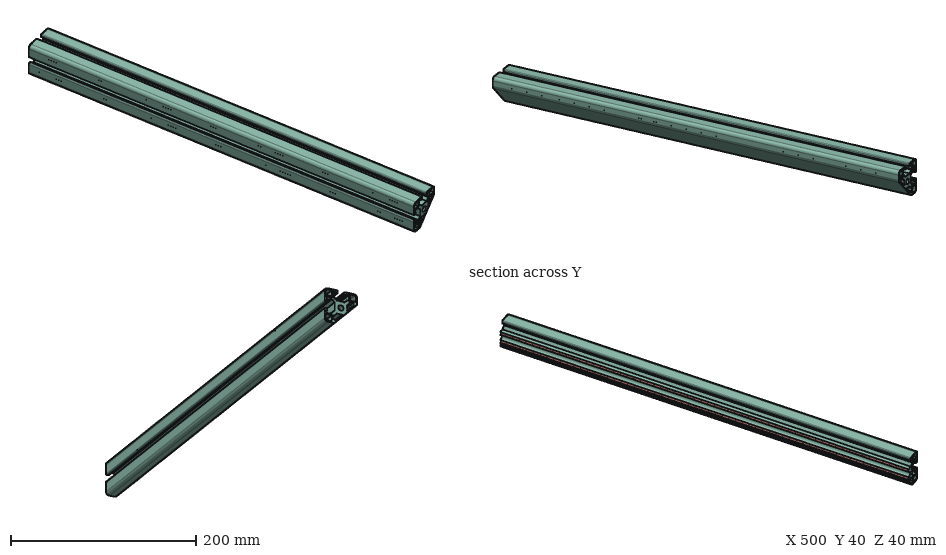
import cadquery as cq
import math

length = 500.0
side = 40.0
half = side / 2
corner_radius = 4.0
bore_diameter = 6.5

slot_width = 8.0
mouth_radius = 1.0
lip_depth = 3.5
flange_thickness = 2.5
hook_width = 2.5
cavity_width = 19.5
core_width = 15.5
shelf_level = 11.0
closed_level = 15.5
arm_offset = 3.0

wall = 1.5
sloping_wall = 2.0
sloping_face_offset = 12.0

half_slot = slot_width / 2
half_cavity = cavity_width / 2
half_core = core_width / 2
lip_level = half - lip_depth
flange_level = half - flange_thickness
shelf_half_width = shelf_level - arm_offset
floor_half_width = half_core - arm_offset


def extrude_outline(points):
    return cq.Workplane("YZ").polyline(points).close().extrude(length)


def turn(body, angle):
    """Turn a body about the bore axis, from facing +Z towards facing -Y."""
    return body.rotate((0, 0, 0), (1, 0, 0), angle)


def both_sides(right_half):
    """Complete an outline that is symmetric about Z from its +Y half."""
    left_half = [(-y, z) for y, z in reversed(right_half)]
    return right_half + left_half


def make_envelope():
    sloping_end = half - sloping_face_offset
    outline = [
        (-half, -half),
        (sloping_face_offset - half, -half),
        (half, sloping_end),
        (half, half),
        (-half, half),
    ]
    return extrude_outline(outline).edges("|X").fillet(corner_radius)


def make_open_slot():
    """T-slot opening towards +Z, with hooked lips and a rounded mouth."""
    hook_outer = half_slot + hook_width
    mouth = half_slot + mouth_radius
    arc_offset = mouth_radius * (1 - math.sqrt(0.5))
    arc_y = half_slot + arc_offset
    arc_z = half - arc_offset
    shoulder = half - mouth_radius
    return (
        cq.Workplane("YZ")
        .moveTo(-mouth, half)
        .lineTo(mouth, half)
        .threePointArc((arc_y, arc_z), (half_slot, shoulder))
        .lineTo(half_slot, lip_level)
        .lineTo(hook_outer, lip_level)
        .lineTo(hook_outer, flange_level)
        .lineTo(half_cavity, flange_level)
        .lineTo(half_cavity, shelf_level)
        .lineTo(shelf_half_width, shelf_level)
        .lineTo(floor_half_width, half_core)
        .lineTo(-floor_half_width, half_core)
        .lineTo(-shelf_half_width, shelf_level)
        .lineTo(-half_cavity, shelf_level)
        .lineTo(-half_cavity, flange_level)
        .lineTo(-hook_outer, flange_level)
        .lineTo(-hook_outer, lip_level)
        .lineTo(-half_slot, lip_level)
        .lineTo(-half_slot, shoulder)
        .threePointArc((-arc_y, arc_z), (-mouth, half))
        .close()
        .extrude(length)
    )


def make_closed_cavity():
    """Slot cavity without a mouth, facing +Z."""
    return extrude_outline(both_sides([
        (floor_half_width, half_core),
        (shelf_half_width, shelf_level),
        (half_cavity, shelf_level),
        (half_cavity, closed_level),
    ]))


def make_inner_side():
    """All the space on the inner side of the sloping wall."""
    inner_offset = sloping_face_offset - sloping_wall * math.sqrt(2)
    return extrude_outline([
        (inner_offset - half, -half),
        (half, half - inner_offset),
        (half, half),
        (-half, half),
        (-half, -half),
    ])


def make_corner_chamber():
    """Closed chamber in the +Y +Z corner, rounded along the outer corner."""
    start = half_cavity + wall
    size = half - wall - start
    return (
        cq.Workplane("YZ")
        .move(start, start)
        .rect(size, size, centered=False)
        .extrude(length)
        .edges("|X and >Y and >Z")
        .fillet(corner_radius - wall)
    )


profile = make_envelope()

for angle in (0, 90):
    profile = profile.cut(turn(make_open_slot(), angle))

for angle in (180, 270):
    closed_cavity = turn(make_closed_cavity(), angle)
    profile = profile.cut(closed_cavity.intersect(make_inner_side()))

for angle in (0, 90, 180):
    profile = profile.cut(turn(make_corner_chamber(), angle))

bore = cq.Workplane("YZ").circle(bore_diameter / 2).extrude(length)
result = profile.cut(bore).translate((-length / 2, 0, 0))